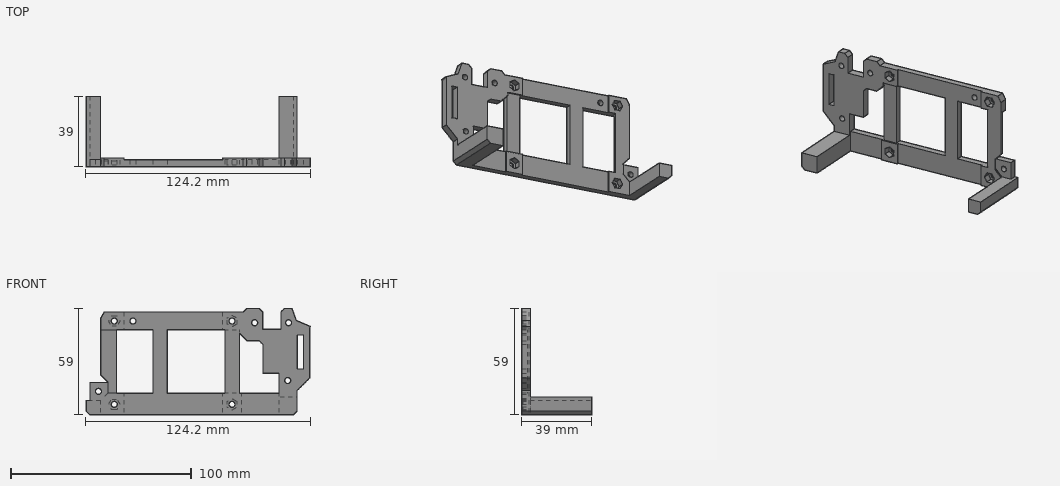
import cadquery as cq
import math

plate_thickness = 5.0
total_depth = 39.0
top_z = 59.0
rail_top_z = 57.0
left_x = 8.0
right_x = 123.9
base_right_x = 116.85
corner_cut = 2.0
steep_cut_angle = 60.0
steep_cut_height = corner_cut * math.tan(math.radians(steep_cut_angle))

window_bottom_z = 12.0
window_top_z = 47.0
window_width = 31.85
bar_width = 8.1
middle_window_x = 45.0
left_window_right_x = middle_window_x - bar_width
left_window_left_x = 12.0
right_window_x = middle_window_x + window_width + bar_width
right_window_right_x = 106.75
ledge_z, ledge_left_x = 41.0, 89.0
lower_ledge_z = 23.0

foot_height = 8.0
tab_left_x = 2.0
tab_right_x = left_window_left_x
tab_top_z = 18.0
tab_thickness = 4.0

strip_right_x = 16.85
strip_front_y = 3.3

left_ear_x = 86.9
notch_left_x = 97.8
notch_right_x = 107.85
notch_floor_z = 47.5
right_ear_end_x = 114.0

valley_x, valley_z = 116.4, 52.3
tip_x, tip_z = 124.15, 49.0
right_edge_top_z = 48.2
right_edge_bottom_z = 20.5
slot_left_x, slot_right_x = 117.0, 120.3
slot_bottom_z, slot_top_z = 25.5, 44.2

left_post_width = 8.0
right_post_left_x = right_window_right_x
right_post_height = 10.0

pocket_depth = 1.0
pocket_left_x, pocket_right_x = 21.0, 75.6
lower_pocket_left_x = 86.0

hole_diameter = 3.2
corner_left_x, corner_right_x = 15.55, 80.75
corner_bottom_z, corner_top_z = 5.8, 51.95
left_corner_holes = [(corner_left_x, corner_bottom_z), (corner_left_x, corner_top_z)]
right_corner_holes = [(corner_right_x, corner_bottom_z), (corner_right_x, corner_top_z)]
plain_holes = [(25.9, corner_top_z), (93.3, 51.0), (112.1, 51.0), (111.6, 19.0), (6.8, 13.0)]
nut_across_flats = 5.5
nut_trap_depth = 4.1
nut_sides = 6
half_nut_angle = 180 / nut_sides


def prism(points, front_y, back_y):
    """Extrude an XZ outline from front_y to back_y."""
    sketch = cq.Workplane("XZ", origin=(0, front_y, 0)).polyline(points).close()
    return sketch.extrude(front_y - back_y)


def block(x0, x1, y0, y1, z0, z1):
    """Axis-aligned box given by its limits."""
    return cq.Workplane("XY").box(x1 - x0, y1 - y0, z1 - z0, centered=False).translate((x0, y0, z0))


def plate():
    outline = [
        (corner_cut, 0),
        (base_right_x - corner_cut, 0),
        (base_right_x, corner_cut),
        (base_right_x, right_edge_bottom_z - (right_x - base_right_x)),
        (right_x, right_edge_bottom_z),
        (right_x, right_edge_top_z),
        (tip_x, tip_z),
        (valley_x, valley_z),
        (right_ear_end_x, top_z),
        (notch_right_x + corner_cut, top_z),
        (notch_right_x, top_z - corner_cut),
        (notch_right_x, notch_floor_z),
        (notch_left_x, notch_floor_z),
        (notch_left_x, top_z - corner_cut),
        (notch_left_x - corner_cut, top_z),
        (left_ear_x + corner_cut, top_z),
        (left_ear_x, rail_top_z),
        (left_x + corner_cut, rail_top_z),
        (left_x, rail_top_z - steep_cut_height),
        (left_x, window_top_z),
        (left_window_left_x, window_top_z),
        (left_window_left_x, tab_top_z),
        (tab_left_x, tab_top_z),
        (tab_left_x, foot_height),
        (0, foot_height),
        (0, corner_cut),
    ]
    return prism(outline, 0, plate_thickness)


def side_strip():
    outline = [
        (tab_right_x, window_bottom_z),
        (strip_right_x, window_bottom_z),
        (strip_right_x, window_top_z),
        (left_x, window_top_z),
        (left_x, tab_top_z + tab_right_x - left_x),
        (tab_right_x, tab_top_z),
    ]
    return prism(outline, strip_front_y, plate_thickness)


def right_window():
    outline = [
        (right_window_x, window_bottom_z),
        (right_window_right_x, window_bottom_z),
        (right_window_right_x, lower_ledge_z),
        (notch_left_x, lower_ledge_z),
        (notch_left_x, ledge_z - corner_cut),
        (notch_left_x - corner_cut, ledge_z),
        (ledge_left_x, ledge_z),
        (right_window_x, ledge_z + ledge_left_x - right_window_x),
    ]
    return prism(outline, 0, plate_thickness)


def windows():
    left = block(left_window_left_x, left_window_right_x, 0, plate_thickness, window_bottom_z, window_top_z)
    middle = block(middle_window_x, middle_window_x + window_width, 0, plate_thickness,
                   window_bottom_z, window_top_z)
    slot = block(slot_left_x, slot_right_x, 0, plate_thickness, slot_bottom_z, slot_top_z)
    return left.union(middle).union(right_window()).union(slot)


def tab_relief():
    outline = [
        (0, foot_height),
        (left_x, foot_height),
        (tab_right_x, foot_height + tab_right_x - left_x),
        (tab_right_x, tab_top_z),
        (0, tab_top_z),
    ]
    return prism(outline, tab_thickness, plate_thickness)


def back_pocket():
    floor_y = plate_thickness - pocket_depth
    full_height = block(pocket_left_x, pocket_right_x, floor_y, plate_thickness, 0, rail_top_z)
    middle_bar = block(pocket_right_x, right_window_x, floor_y, plate_thickness,
                       window_bottom_z, window_top_z)
    lower_rail = block(lower_pocket_left_x, right_window_right_x, floor_y, plate_thickness,
                       0, window_bottom_z)
    return full_height.union(middle_bar).union(lower_rail)


def posts():
    left_outline = [
        (corner_cut, 0),
        (left_post_width, 0),
        (left_post_width, foot_height),
        (0, foot_height),
        (0, corner_cut),
    ]
    right_outline = [
        (right_post_left_x, 0),
        (base_right_x - corner_cut, 0),
        (base_right_x, corner_cut),
        (base_right_x, right_post_height),
        (right_post_left_x, right_post_height),
    ]
    return prism(left_outline, 0, total_depth).union(prism(right_outline, 0, total_depth))


def holes():
    positions = plain_holes + left_corner_holes + right_corner_holes
    sketch = cq.Workplane("XZ").pushPoints(positions).circle(hole_diameter / 2)
    return sketch.extrude(-plate_thickness)


def nut_trap(position, turn):
    """Hexagonal recess in the back face; turn = 0 puts two corners on the X direction."""
    x, z = position
    across_corners = nut_across_flats / math.cos(math.radians(half_nut_angle))
    hexagon = cq.Workplane("XZ", origin=(x, plate_thickness, z)).polygon(nut_sides, across_corners)
    return hexagon.extrude(nut_trap_depth).rotate((x, 0, z), (x, 1, z), turn)


body = plate().cut(windows()).union(side_strip())
body = body.cut(tab_relief()).cut(back_pocket()).cut(holes())
for hole in left_corner_holes:
    body = body.cut(nut_trap(hole, 0))
for hole in right_corner_holes:
    body = body.cut(nut_trap(hole, half_nut_angle))
result = body.union(posts())